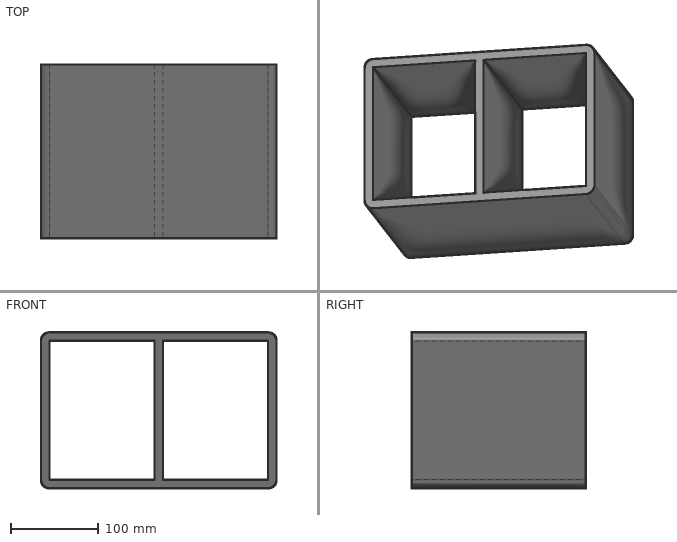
import cadquery as cq

width = 271.0
depth = 200.0
height = 179.5

wall = 10.0
corner_radius = 10.0

cell_width = (width - 3 * wall) / 2
cell_height = height - 2 * wall
cell_offset = (cell_width + wall) / 2


def make_shell():
    """Solid block with its four edges along Y rounded."""
    return cq.Workplane("XY").box(width, depth, height).edges("|Y").fillet(corner_radius)


def make_cell(centre_x):
    """Square-cornered opening that runs the full depth."""
    return cq.Workplane("XY").box(cell_width, depth, cell_height).translate((centre_x, 0, 0))


result = make_shell()
for side in (-1, 1):
    result = result.cut(make_cell(side * cell_offset))